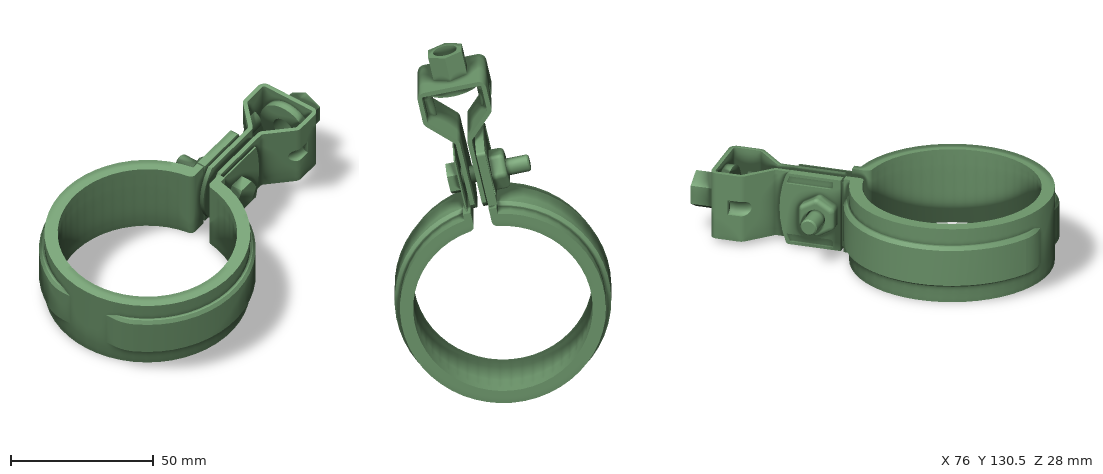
import cadquery as cq
import math

OVERALL_LENGTH = 130.5
HEX_HALF_ANGLE = 30.0

LINER_WIDTH = 28.0
LINER_BORE_RADIUS = 31.5
LINER_DIAMETER = 72.2
GAP_HALF_WIDTH = 3.3
LUG_THICKNESS = 2.7
LUG_CORNER_RADIUS = 2.0
RIB_RADIUS = 38.0
RIB_WIDTH = 15.7
RIB_CHAMFER_WIDTH = 1.3
RIB_CHAMFER_DEPTH = 0.9
RIB_FLAT_DEPTH = 35.2
RIB_BLEND_RADIUS = 15.7

EAR_THICKNESS = 0.5
EAR_WIDTH = 24.8
EAR_SHOULDER_Y = 58.0
EAR_TIP_Y = 59.8
EAR_ROOT_Y = 35.9

SHEET = 1.6
BRACKET_WIDTH = 25.0
BRACKET_TOP_Y = 85.5
BRACKET_HALF_WIDTH = 12.3
SHOULDER_Y = 73.5
SLOPE_ANGLE = 45.0
LEG_GAP_HALF = 1.3
LEG_CORNER_Y = 40.2
LEG_TIP_Y = 35.2
BEND_RADIUS = 1.2
TOP_CORNER_RADIUS = 0.7
DIMPLE_RADIUS = 2.7
DIMPLE_TOP_Y = 78.7

CONNECTION_NUT_FLATS = 12.0
STUD_BORE = 8.5
WASHER_DIAMETER = 20.0
WASHER_THICKNESS = 3.0

BOLT_Y = 46.5
BOLT_DIAMETER = 6.0
BOLT_TIP_DIAMETER = 5.0
BOLT_TIP_X = -19.8
HEAD_FLATS = 10.0
HEAD_HEIGHT = 4.3

PLATE_THICKNESS = 3.1
PLATE_INNER_X = -3.4
PLATE_WIDTH = 27.1
PLATE_BOTTOM_Y = 38.9
PLATE_SHOULDER_Y = 58.9
PLATE_TIP_Y = 61.5
PLATE_CORNER_RADIUS = 1.3
GROOVE_INNER_Z = 9.7
GROOVE_OUTER_Z = 12.5
GROOVE_BOTTOM_Y = 41.8
GROOVE_INNER_TOP_Y = 59.0
GROOVE_OUTER_TOP_Y = 57.7
GROOVE_DEPTH = 1.0
GROOVE_CORNER = 1.3
NUT_FLATS = 12.9
NUT_HEIGHT = 5.2
NUT_HOLE = 7.0
NUT_EDGE_RADIUS = 1.8
NUT_TOP_RADIUS = 1.6

liner_radius = LINER_DIAMETER / 2
connection_nut_top_y = OVERALL_LENGTH - liner_radius
ear_center_x = GAP_HALF_WIDTH + LUG_THICKNESS / 2
ear_outer_x = ear_center_x + EAR_THICKNESS / 2
plate_outer_x = PLATE_INNER_X - PLATE_THICKNESS
leg_outer_x = LEG_GAP_HALF + SHEET
washer_top_y = BRACKET_TOP_Y - SHEET


def side_plane(x):
    """Sketch plane at a given X: local x runs along +Y, local y along +Z, normal is +X."""
    return cq.Workplane("YZ", origin=(x, 0, 0))


def hexagon_diameter(flats):
    """Distance across the corners of a hexagon."""
    return flats / math.cos(math.radians(HEX_HALF_ANGLE))


def rod(x_from, x_to, diameter):
    """Cylinder along the bolt axis."""
    return side_plane(x_from).center(BOLT_Y, 0).circle(diameter / 2).extrude(x_to - x_from)


def upright_plate(x, thickness, width, bottom_y, shoulder_y, tip_y):
    """Upright plate with a bowed +Y end."""
    half = width / 2
    return (
        side_plane(x).moveTo(bottom_y, -half)
        .lineTo(shoulder_y, -half)
        .threePointArc((tip_y, 0), (shoulder_y, half))
        .lineTo(bottom_y, half)
        .close().extrude(thickness)
    )


def make_ear(side):
    """Thin upright strip rooted in one lug."""
    x = side * ear_center_x - EAR_THICKNESS / 2
    return upright_plate(x, EAR_THICKNESS, EAR_WIDTH, EAR_ROOT_Y, EAR_SHOULDER_Y, EAR_TIP_Y)


def make_rib():
    """Chamfered ring section cut by the flat, with rounded runs into the flat."""
    blend_center_y = -(RIB_FLAT_DEPTH - RIB_BLEND_RADIUS)
    center_distance = RIB_RADIUS - RIB_BLEND_RADIUS
    blend_center_x = math.sqrt(center_distance**2 - blend_center_y**2)
    stretch = RIB_RADIUS / center_distance
    end_x = blend_center_x * stretch
    end_y = blend_center_y * stretch
    mid_angle = (math.atan2(end_y, end_x) - math.pi / 2) / 2
    mid_x = blend_center_x + RIB_BLEND_RADIUS * math.cos(mid_angle)
    mid_y = blend_center_y + RIB_BLEND_RADIUS * math.sin(mid_angle)
    rib = (
        cq.Workplane("XY", origin=(0, 0, -RIB_WIDTH / 2))
        .moveTo(-blend_center_x, -RIB_FLAT_DEPTH)
        .lineTo(blend_center_x, -RIB_FLAT_DEPTH)
        .threePointArc((mid_x, mid_y), (end_x, end_y))
        .threePointArc((0, RIB_RADIUS), (-end_x, end_y))
        .threePointArc((-mid_x, mid_y), (-blend_center_x, -RIB_FLAT_DEPTH))
        .close().extrude(RIB_WIDTH)
    )
    rib = rib.faces("<Z").edges().chamfer(RIB_CHAMFER_DEPTH, RIB_CHAMFER_WIDTH)
    return rib.faces(">Z").edges().chamfer(RIB_CHAMFER_WIDTH, RIB_CHAMFER_DEPTH)


def make_liner():
    """Split ring with the outer rib and a lug on each end."""
    liner = cq.Workplane("XY").circle(liner_radius).extrude(LINER_WIDTH / 2, both=True)
    liner = liner.union(make_rib())
    lugs = cq.Workplane("XY").box(
        2 * (GAP_HALF_WIDTH + LUG_THICKNESS), RIB_RADIUS, LINER_WIDTH, centered=(True, False, True)
    )
    bore = cq.Workplane("XY").circle(LINER_BORE_RADIUS).extrude(LINER_WIDTH, both=True)
    gap = cq.Workplane("XY").box(
        2 * GAP_HALF_WIDTH, 2 * RIB_RADIUS, 2 * LINER_WIDTH, centered=(True, False, True)
    )
    liner = liner.union(lugs).cut(bore).cut(gap)
    inner_corner_y = math.sqrt(LINER_BORE_RADIUS**2 - GAP_HALF_WIDTH**2)
    reach = 0.7
    corners = cq.selectors.BoxSelector(
        (-GAP_HALF_WIDTH - reach, inner_corner_y - reach, -LINER_WIDTH),
        (GAP_HALF_WIDTH + reach, inner_corner_y + reach, LINER_WIDTH),
    )
    return liner.edges("|Z").edges(corners).fillet(LUG_CORNER_RADIUS)


def mirrored_solid(points, width):
    """Solid of constant width along Z whose +X outline is given from the top centre downwards."""
    other = [(-x, y) for x, y in reversed(points)]
    return cq.Workplane("XY").polyline(points + other).close().extrude(width / 2, both=True)


def round_corners(solid, points, radius):
    """Fillet the edges along Z at the given points and at their mirror images."""
    tolerance = 0.01
    edges = solid.edges("|Z").filter(
        lambda edge: any(
            math.hypot(abs(edge.Center().x) - x, edge.Center().y - y) < tolerance for x, y in points
        )
    )
    return edges.fillet(radius)


def make_dimple(side, envelope):
    """Half-round groove in one wall: the metal to add inside the bracket and the groove to cut."""
    wall_x = side * BRACKET_HALF_WIDTH
    length = DIMPLE_TOP_Y - LEG_TIP_Y
    axis = cq.Workplane("XZ", origin=(wall_x, DIMPLE_TOP_Y, 0))
    shell = axis.circle(DIMPLE_RADIUS + SHEET).extrude(length).intersect(envelope)
    groove = axis.circle(DIMPLE_RADIUS).extrude(length)
    return shell, groove


def make_leg_ends():
    """Block with a bowed -Y end that shapes the ends of both legs."""
    half_width = BRACKET_WIDTH / 2
    return (
        side_plane(-BRACKET_HALF_WIDTH).moveTo(BRACKET_TOP_Y, -half_width)
        .lineTo(LEG_CORNER_Y, -half_width)
        .threePointArc((LEG_TIP_Y, 0), (LEG_CORNER_Y, half_width))
        .lineTo(BRACKET_TOP_Y, half_width)
        .close().extrude(2 * BRACKET_HALF_WIDTH)
    )


def make_bracket():
    """Bent strip: flat top, two upright walls, inward slopes and two parallel legs."""
    bend_shift = SHEET * math.tan(math.radians(SLOPE_ANGLE / 2))
    neck_y = SHOULDER_Y - (BRACKET_HALF_WIDTH - leg_outer_x) / math.tan(math.radians(SLOPE_ANGLE))
    top = (BRACKET_HALF_WIDTH, BRACKET_TOP_Y)
    shoulder = (BRACKET_HALF_WIDTH, SHOULDER_Y)
    neck = (leg_outer_x, neck_y)
    envelope = mirrored_solid([top, shoulder, neck, (leg_outer_x, LEG_TIP_Y)], BRACKET_WIDTH)
    envelope = round_corners(envelope, [top, shoulder], BEND_RADIUS + SHEET)
    envelope = round_corners(envelope, [neck], BEND_RADIUS)

    inner_top = (BRACKET_HALF_WIDTH - SHEET, washer_top_y)
    inner_shoulder = (BRACKET_HALF_WIDTH - SHEET, SHOULDER_Y + bend_shift)
    inner_neck = (LEG_GAP_HALF, neck_y + bend_shift)
    inside = mirrored_solid(
        [inner_top, inner_shoulder, inner_neck, (LEG_GAP_HALF, LEG_TIP_Y)], BRACKET_WIDTH
    )
    inside = round_corners(inside, [inner_top], TOP_CORNER_RADIUS)
    inside = round_corners(inside, [inner_shoulder], BEND_RADIUS)
    inside = round_corners(inside, [inner_neck], BEND_RADIUS + SHEET)

    bracket = envelope.cut(inside)
    for side in (-1, 1):
        shell, groove = make_dimple(side, envelope)
        bracket = bracket.union(shell).cut(groove)
    bracket = bracket.intersect(make_leg_ends())
    bracket = bracket.cut(rod(-leg_outer_x, leg_outer_x, BOLT_DIAMETER))
    return bracket.cut(make_stud_bore())


def make_stud_bore():
    """Threaded-rod bore shared by the connection nut, the bracket top and the washer."""
    return cq.Workplane("XZ", origin=(0, connection_nut_top_y, 0)).circle(STUD_BORE / 2).extrude(
        connection_nut_top_y - washer_top_y + WASHER_THICKNESS
    )


def make_connection_nut():
    """Hexagonal nut on the outside of the bracket top."""
    nut = (
        cq.Workplane("XZ", origin=(0, connection_nut_top_y, 0))
        .polygon(6, hexagon_diameter(CONNECTION_NUT_FLATS)).extrude(connection_nut_top_y - BRACKET_TOP_Y)
        .rotate((0, 0, 0), (0, 1, 0), HEX_HALF_ANGLE)
    )
    return nut.cut(make_stud_bore())


def make_washer():
    """Round washer on the inside of the bracket top."""
    washer = (
        cq.Workplane("XZ", origin=(0, washer_top_y, 0))
        .circle(WASHER_DIAMETER / 2).extrude(WASHER_THICKNESS)
    )
    return washer.cut(make_stud_bore())


def make_bolt():
    """Hexagon bolt with its head against the +X ear."""
    shank = rod(BOLT_TIP_X, ear_outer_x, BOLT_DIAMETER)
    shank = shank.faces("<X").chamfer((BOLT_DIAMETER - BOLT_TIP_DIAMETER) / 2)
    head = side_plane(ear_outer_x).center(BOLT_Y, 0).polygon(6, hexagon_diameter(HEAD_FLATS))
    return shank.union(head.extrude(HEAD_HEIGHT))


def make_nut():
    """Rounded hexagon nut on the outer face of the clamping plate."""
    nut = (
        side_plane(plate_outer_x).center(BOLT_Y, 0)
        .polygon(6, hexagon_diameter(NUT_FLATS)).extrude(-NUT_HEIGHT)
        .rotate((0, BOLT_Y, 0), (1, BOLT_Y, 0), HEX_HALF_ANGLE)
    )
    nut = nut.edges("|X").fillet(NUT_EDGE_RADIUS)
    nut = nut.faces("<X").edges().fillet(NUT_TOP_RADIUS)
    return nut.cut(rod(plate_outer_x - NUT_HEIGHT, plate_outer_x, NUT_HOLE))


def make_plate():
    """Clamping plate over the -X ear, with a shallow groove along each long side."""
    plate = upright_plate(
        plate_outer_x, PLATE_THICKNESS, PLATE_WIDTH, PLATE_BOTTOM_Y, PLATE_SHOULDER_Y, PLATE_TIP_Y
    )
    plate = plate.edges("|X").edges(">Y").fillet(PLATE_CORNER_RADIUS)
    for side in (-1, 1):
        groove = (
            side_plane(plate_outer_x).moveTo(GROOVE_BOTTOM_Y, side * GROOVE_OUTER_Z)
            .lineTo(GROOVE_OUTER_TOP_Y, side * GROOVE_OUTER_Z)
            .lineTo(GROOVE_INNER_TOP_Y, side * GROOVE_INNER_Z)
            .lineTo(GROOVE_BOTTOM_Y + GROOVE_CORNER, side * GROOVE_INNER_Z)
            .radiusArc((GROOVE_BOTTOM_Y, side * (GROOVE_INNER_Z + GROOVE_CORNER)), side * GROOVE_CORNER)
            .close().extrude(GROOVE_DEPTH)
        )
        plate = plate.cut(groove)
    return plate.cut(rod(plate_outer_x, PLATE_INNER_X, BOLT_DIAMETER))


bolt = make_bolt()
ears = [make_ear(side).cut(bolt) for side in (-1, 1)]
liner = make_liner()
plate = make_plate()
for side in (-1, 1):
    liner = liner.cut(make_ear(side))
plate = plate.cut(make_ear(-1))
bracket = make_bracket()
connection_nut = make_connection_nut()
washer = make_washer()
nut = make_nut()

result = cq.Compound.makeCompound(
    [
        liner.val(),
        *[ear.val() for ear in ears],
        bracket.val(),
        connection_nut.val(),
        washer.val(),
        bolt.val(),
        nut.val(),
        plate.val(),
    ]
)